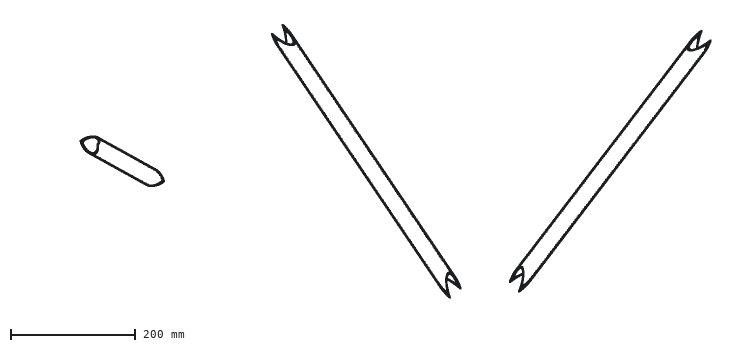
import cadquery as cq
import math

span_y = 360.0
span_z = 366.0
tube_diameter = 28.0
wall = 1.5

tube_radius = tube_diameter / 2
half_length = math.hypot(span_y, span_z) / 2
upper_node = cq.Vector(0, -span_y / 2, span_z / 2)
cope_length = 6 * tube_diameter


def half_tube():
    """Straight tube running from the origin up to the upper node."""
    plane = cq.Plane(origin=(0, 0, 0), xDir=(1, 0, 0), normal=upper_node)
    return (
        cq.Workplane(plane)
        .circle(tube_radius)
        .circle(tube_radius - wall)
        .extrude(half_length)
    )


def cope_cylinder(direction):
    """Solid cylinder of the tube's diameter, centred on the upper node."""
    start = upper_node - direction * (cope_length / 2)
    return cq.Workplane(cq.Solid.makeCylinder(tube_radius, cope_length, start, direction))


horizontal_cope = cope_cylinder(cq.Vector(0, 1, 0))
vertical_cope = cope_cylinder(cq.Vector(0, 0, 1))
upper_half = half_tube().cut(horizontal_cope).cut(vertical_cope)

lower_half = upper_half.rotate((0, 0, 0), (1, 0, 0), 180)
result = upper_half.union(lower_half).clean()